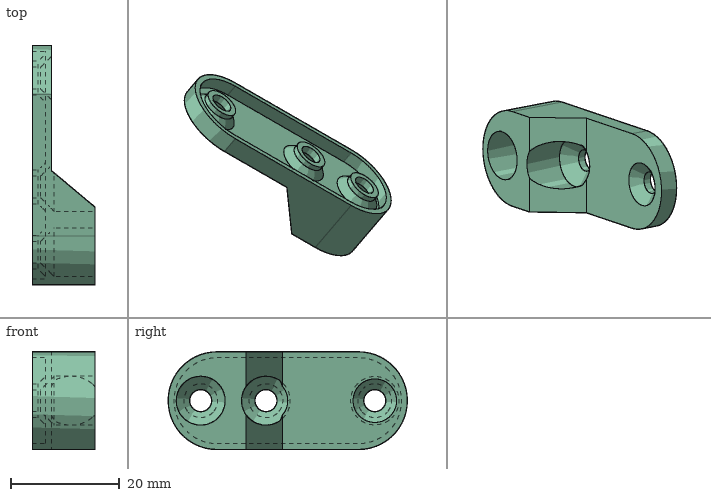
import cadquery as cq

length = 44.0
height = 18.0
end_radius = height / 2
block_thickness = 11.5
plate_thickness = 3.5

ramp_top_y = -7.7
ramp_foot_y = -1.0

wall = 1.1
tray_depth = 2.4

boss_positions_y = (16.0, -4.0, -16.0)
boss_radius = 3.1
boss_base_radius = 4.45
boss_collar_height = 1.0

hole_radius = 2.0
head_radius = 4.5
bore_depth = 1.5
countersink_depth = head_radius - hole_radius


def slot_prism(slot_length, slot_height, depth):
    """Slot centred on the X axis, extruded from X = 0 towards +X."""
    return cq.Workplane("YZ").slot2D(slot_length, slot_height).extrude(depth)


def revolve_about_hole_axis(profile, y):
    """Turn (x, radius) points into a solid of revolution about the X-parallel axis at y."""
    turned = cq.Workplane("XZ").polyline(profile).close().revolve(360, (0, 0), (1, 0))
    return turned.translate((0, y, 0))


def body():
    side_profile = [
        (0, -length / 2),
        (block_thickness, -length / 2),
        (block_thickness, ramp_top_y),
        (plate_thickness, ramp_foot_y),
        (plate_thickness, length / 2),
        (0, length / 2),
    ]
    stepped_bar = cq.Workplane("XY").polyline(side_profile).close().extrude(end_radius, both=True)
    return slot_prism(length, height, block_thickness).intersect(stepped_bar)


def boss(y):
    profile = [
        (0, 0),
        (0, boss_radius),
        (boss_collar_height, boss_radius),
        (tray_depth, boss_base_radius),
        (tray_depth, 0),
    ]
    return revolve_about_hole_axis(profile, y)


def screw_hole(y):
    countersink_end = bore_depth + countersink_depth
    profile = [
        (0, 0),
        (0, hole_radius),
        (bore_depth, hole_radius),
        (countersink_end, head_radius),
        (block_thickness, head_radius),
        (block_thickness, 0),
    ]
    return revolve_about_hole_axis(profile, y)


result = body().cut(slot_prism(length - 2 * wall, height - 2 * wall, tray_depth))
for boss_y in boss_positions_y:
    result = result.union(boss(boss_y))
for boss_y in boss_positions_y:
    result = result.cut(screw_hole(boss_y))